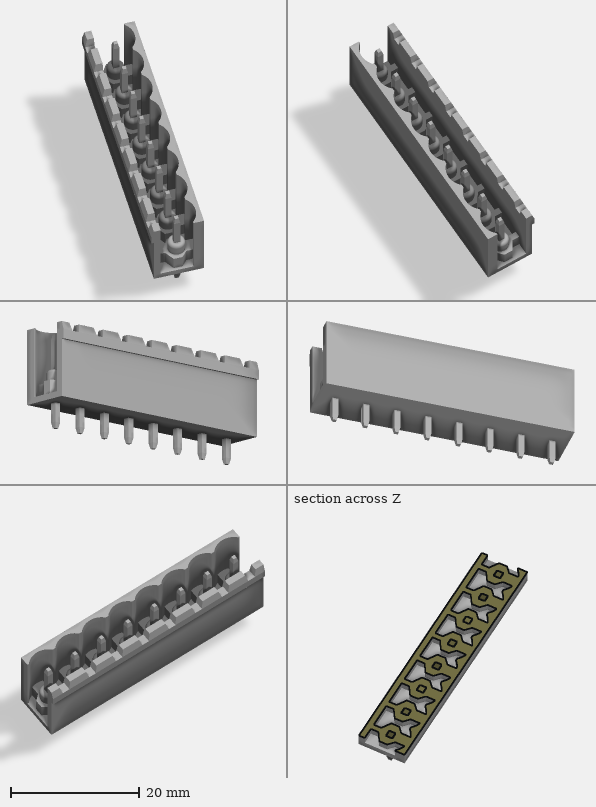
import cadquery as cq

pin_count = 8
pitch = 5.1
row_length = pin_count * pitch

housing_height = 12.0
floor_thickness = 0.98
front_wall = 1.1
cavity_width = 5.3
back_wall = 1.7
cavity_back = front_wall + cavity_width
housing_depth = cavity_back + back_wall

lip_depth = 0.4
lip_height = 2.85
bevel_height = 1.35
bevel_bottom = housing_height - bevel_height

notch_top_width = 2.0
notch_bottom_width = 1.25

pin_y = 4.3
pin_width = 1.0
pin_tip_width = 0.6
pin_tip_length = 0.95
pin_below = 4.02
pin_recess = 0.98
pin_top = housing_height - pin_recess

scallop_radius = 3.1

pedestal_top = 3.3
pedestal_width = 4.05
pedestal_front_width = 1.0
pedestal_back_width = 2.07
front_neck_end = 2.35
body_front = 3.35
body_back = 4.75
back_neck_start = 5.65
back_neck_end = (pin_y + scallop_radius + housing_depth) / 2
collar_diameter = 2.75
collar_top = 5.25
collar_round = 0.5

pin_xs = [(i - (pin_count - 1) / 2) * pitch for i in range(pin_count)]


def make_trough():
    """U section with the bevelled latch lip, extruded over the full row."""
    section = [
        (0, 0),
        (housing_depth, 0),
        (housing_depth, housing_height),
        (cavity_back, housing_height),
        (cavity_back, floor_thickness),
        (front_wall, floor_thickness),
        (front_wall, housing_height),
        (0, housing_height),
        (-lip_depth, bevel_bottom),
        (-lip_depth, housing_height - lip_height),
        (0, housing_height - lip_height),
    ]
    return cq.Workplane("YZ").polyline(section).close().extrude(row_length / 2, both=True)


def make_scallop(x):
    """Cylinder that hollows the back wall, limited to the Y range behind the pin."""
    cylinder = (
        cq.Workplane("XY", origin=(x, pin_y, floor_thickness))
        .circle(scallop_radius)
        .extrude(housing_height - floor_thickness)
    )
    behind_pin = cq.Workplane("XY", origin=(x, pin_y, floor_thickness)).box(
        2 * scallop_radius, scallop_radius, housing_height, centered=(True, False, False)
    )
    return cylinder.intersect(behind_pin)


def make_notch(x):
    """Tapered cutter that opens the lip and the front wall at one pin."""
    half_top = notch_top_width / 2
    half_bottom = notch_bottom_width / 2
    outline = [
        (x - half_bottom, bevel_bottom),
        (x + half_bottom, bevel_bottom),
        (x + half_top, housing_height),
        (x - half_top, housing_height),
    ]
    workplane = cq.Workplane("XZ", origin=(0, front_wall, 0))
    return workplane.polyline(outline).close().extrude(front_wall + lip_depth)


def make_pedestal(x):
    """Keyed block from wall to wall with a round-edged collar on top."""
    half_front = pedestal_front_width / 2
    half_body = pedestal_width / 2
    half_back = pedestal_back_width / 2
    right_side = [
        (half_front, front_wall),
        (half_front, front_neck_end),
        (half_body, body_front),
        (half_body, body_back),
        (half_back, back_neck_start),
        (half_back, back_neck_end),
    ]
    left_side = [(-px, py) for px, py in reversed(right_side)]
    block = (
        cq.Workplane("XY", origin=(x, 0, floor_thickness))
        .polyline(right_side + left_side)
        .close()
        .extrude(pedestal_top - floor_thickness)
    )
    collar = (
        cq.Workplane("XY", origin=(x, pin_y, floor_thickness))
        .circle(collar_diameter / 2)
        .extrude(collar_top - floor_thickness)
        .faces(">Z")
        .edges()
        .fillet(collar_round)
    )
    return block.union(collar)


def make_pin_tip(x, base_z, direction):
    """Square taper from the shank at base_z to the tip; direction is +1 for up, -1 for down."""
    return (
        cq.Workplane("XY", origin=(x, pin_y, base_z))
        .rect(pin_width, pin_width)
        .workplane(offset=direction * pin_tip_length)
        .rect(pin_tip_width, pin_tip_width)
        .loft()
    )


def make_pin(x):
    """Straight square pin, tapered at both ends."""
    shank_bottom = pin_tip_length - pin_below
    shank_top = pin_top - pin_tip_length
    shank = (
        cq.Workplane("XY", origin=(x, pin_y, shank_bottom))
        .rect(pin_width, pin_width)
        .extrude(shank_top - shank_bottom)
    )
    return shank.union(make_pin_tip(x, shank_top, 1)).union(make_pin_tip(x, shank_bottom, -1))


def make_pin_hole(x):
    """Square hole through floor, pedestal and collar that fits the pin shank."""
    return cq.Workplane("XY", origin=(x, pin_y, 0)).rect(pin_width, pin_width).extrude(collar_top)


def make_housing():
    """Trough with a scallop, notch, pedestal and pin hole at every pin place."""
    body = make_trough()
    for x in pin_xs:
        body = body.cut(make_scallop(x)).cut(make_notch(x))
    for x in pin_xs:
        body = body.union(make_pedestal(x)).cut(make_pin_hole(x))
    return body


housing = make_housing()
pins = [make_pin(x) for x in pin_xs]

result = cq.Compound.makeCompound([housing.val(), *[pin.val() for pin in pins]])